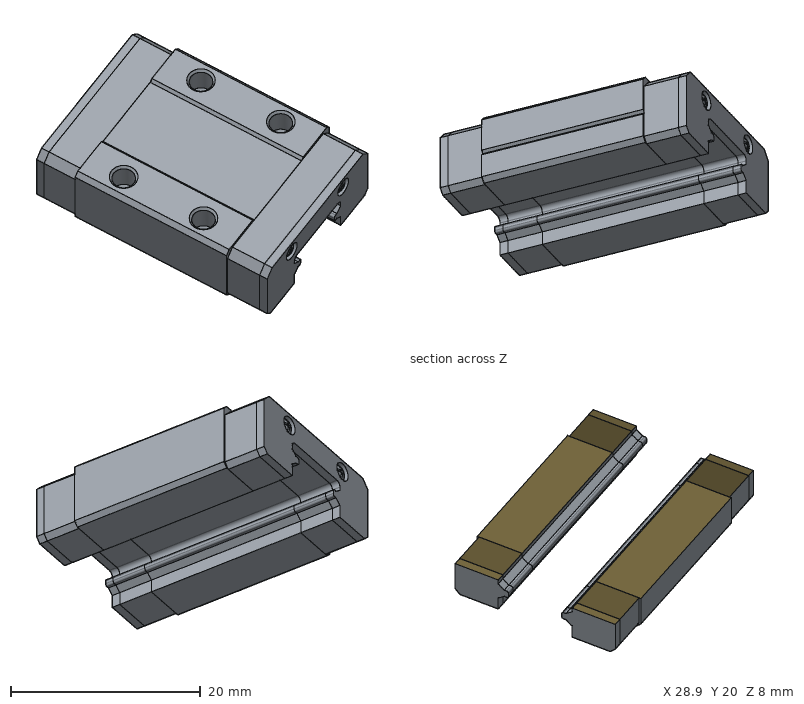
import cadquery as cq
import math

TOTAL_LENGTH = 28.9
PLATE_THICKNESS = 0.95
CAP_LENGTH = 4.02
BLOCK_LENGTH = TOTAL_LENGTH - 2 * (CAP_LENGTH + PLATE_THICKNESS)

BLOCK_WIDTH = 20.0
BLOCK_HEIGHT = 8.0
BLOCK_CHAMFER = 0.52
MARK_GROOVE_HEIGHT = 3.5
MARK_GROOVE_DEPTH = 0.3

HOLE_SPACING_X = 10.0
HOLE_SPACING_Y = 15.03
HOLE_DIAMETER = 2.49
HOLE_RIM_DIAMETER = 3.0
HOLE_DEPTH = 3.0
DRILL_POINT_ANGLE = 118

END_WIDTH = 19.57
END_HEIGHT = 7.7
END_TOP_CHAMFER = 0.95
END_BOTTOM_CHAMFER = 0.6

RECESS_DEPTH = BLOCK_HEIGHT - END_HEIGHT
RECESS_FLOOR_WIDTH = 9.2
RECESS_TOP_WIDTH = RECESS_FLOOR_WIDTH + 2 * RECESS_DEPTH

CHANNEL_WIDTH = 9.0
CHANNEL_HEIGHT = 4.48
CHANNEL_FILLET = 0.55
RIB_HEIGHT = 2.5
RIB_ROOT_HALF = 0.98
RIB_TIP_HALF = 0.43
RIB_SHOULDER_WIDTH = 7.5
RIB_TIP_WIDTH = 6.47
RIB_TIP_FILLET = 0.25
UNDERSIDE_OVERCUT = 0.3
EDGE_TOLERANCE = 0.003

SCREW_SPACING = 10.0
SCREW_HEIGHT = 6.2
SCREW_RADIUS = 1.0
SCREW_CLEARANCE = 0.03
SCREW_RECESS_DEPTH = 0.52
DOME_HEIGHT = 0.5
SLOT_WIDTH = 0.23
SLOT_DEPTH = 0.4


def extrude_section(points, x_start, length):
    """Extrude a closed (Y, Z) outline along +X from x_start."""
    return cq.Workplane("YZ").workplane(offset=x_start).polyline(points).close().extrude(length)


def mirrored(half_outline):
    """Complete a (Y, Z) half outline on the +Y side with its mirror image."""
    return half_outline + [(-y, z) for y, z in reversed(half_outline)]


def channel_cutter():
    """Rail channel through the whole length, leaving a rib on each side wall."""
    wall = CHANNEL_WIDTH / 2
    shoulder = RIB_SHOULDER_WIDTH / 2
    tip = RIB_TIP_WIDTH / 2
    lower_tip = RIB_HEIGHT - RIB_TIP_HALF
    upper_tip = RIB_HEIGHT + RIB_TIP_HALF
    half_outline = [
        (wall, -UNDERSIDE_OVERCUT),
        (wall, RIB_HEIGHT - RIB_ROOT_HALF),
        (shoulder, lower_tip),
        (tip, lower_tip),
        (tip, upper_tip),
        (shoulder, upper_tip),
        (wall, RIB_HEIGHT + RIB_ROOT_HALF),
        (wall, CHANNEL_HEIGHT),
    ]
    cutter = extrude_section(mirrored(half_outline), -TOTAL_LENGTH / 2, TOTAL_LENGTH)
    cutter = cutter.edges("|X and >Z").fillet(CHANNEL_FILLET)
    tip_corners = cutter.edges("|X").filter(lambda edge: abs(abs(edge.Center().y) - tip) < EDGE_TOLERANCE)
    return tip_corners.fillet(RIB_TIP_FILLET)


def mounting_hole_cutter():
    """Drilled hole with a countersunk rim and a conical bottom, opening at Z = 0."""
    radius = HOLE_DIAMETER / 2
    rim_radius = HOLE_RIM_DIAMETER / 2
    rim_depth = rim_radius - radius
    point_depth = radius / math.tan(math.radians(DRILL_POINT_ANGLE / 2))
    profile = [
        (0, 0),
        (rim_radius, 0),
        (radius, -rim_depth),
        (radius, -HOLE_DEPTH),
        (0, -HOLE_DEPTH - point_depth),
    ]
    return cq.Workplane("XZ").polyline(profile).close().revolve(360, (0, 0, 0), (0, 1, 0))


def make_block(channel):
    """Main block with its top recess, side mark and four mounting holes."""
    side = BLOCK_WIDTH / 2
    half_outline = [
        (side - BLOCK_CHAMFER, 0),
        (side, BLOCK_CHAMFER),
        (side, BLOCK_HEIGHT - BLOCK_CHAMFER),
        (side - BLOCK_CHAMFER, BLOCK_HEIGHT),
        (RECESS_TOP_WIDTH / 2, BLOCK_HEIGHT),
        (RECESS_FLOOR_WIDTH / 2, END_HEIGHT),
    ]
    block = extrude_section(mirrored(half_outline), -BLOCK_LENGTH / 2, BLOCK_LENGTH).cut(channel)

    mark_outline = [
        (side, MARK_GROOVE_HEIGHT - MARK_GROOVE_DEPTH),
        (side, MARK_GROOVE_HEIGHT + MARK_GROOVE_DEPTH),
        (side - MARK_GROOVE_DEPTH, MARK_GROOVE_HEIGHT),
    ]
    block = block.cut(extrude_section(mark_outline, -BLOCK_LENGTH / 2, BLOCK_LENGTH))

    for x in (-HOLE_SPACING_X / 2, HOLE_SPACING_X / 2):
        for y in (-HOLE_SPACING_Y / 2, HOLE_SPACING_Y / 2):
            block = block.cut(mounting_hole_cutter().translate((x, y, BLOCK_HEIGHT)))
    return block


def end_section(x_start, length, channel):
    """Slice of the end outline, with chamfered corners and the rail channel."""
    side = END_WIDTH / 2
    half_outline = [
        (side - END_BOTTOM_CHAMFER, 0),
        (side, END_BOTTOM_CHAMFER),
        (side, END_HEIGHT - END_TOP_CHAMFER),
        (side - END_TOP_CHAMFER, END_HEIGHT),
    ]
    return extrude_section(mirrored(half_outline), x_start, length).cut(channel)


def make_end_cap(channel):
    """End cap against the -X end of the block."""
    return end_section(-BLOCK_LENGTH / 2 - CAP_LENGTH, CAP_LENGTH, channel)


def make_seal_plate(channel):
    """Seal plate on the -X end, with a round recess for each screw."""
    plate = end_section(-TOTAL_LENGTH / 2, PLATE_THICKNESS, channel)
    for y in (-SCREW_SPACING / 2, SCREW_SPACING / 2):
        recess = (
            cq.Workplane("YZ", origin=(-TOTAL_LENGTH / 2, y, SCREW_HEIGHT))
            .circle(SCREW_RADIUS + SCREW_CLEARANCE)
            .extrude(SCREW_RECESS_DEPTH)
        )
        plate = plate.cut(recess)
    return plate


def make_screw(y):
    """Domed screw head facing -X, seated on the floor of its recess."""
    seat_x = -TOTAL_LENGTH / 2 + SCREW_RECESS_DEPTH
    dome_x = seat_x - DOME_HEIGHT
    sphere_radius = (SCREW_RADIUS**2 + DOME_HEIGHT**2) / (2 * DOME_HEIGHT)
    sphere = cq.Workplane("XY").sphere(sphere_radius).translate((dome_x + sphere_radius, y, SCREW_HEIGHT))
    apex_plane = cq.Workplane("YZ", origin=(dome_x, y, SCREW_HEIGHT))
    envelope = apex_plane.circle(SCREW_RADIUS).extrude(DOME_HEIGHT)
    slot_length = 2 * SCREW_RADIUS
    slot_along_y = apex_plane.rect(slot_length, SLOT_WIDTH).extrude(SLOT_DEPTH)
    slot_along_z = apex_plane.rect(SLOT_WIDTH, slot_length).extrude(SLOT_DEPTH)
    return envelope.intersect(sphere).cut(slot_along_y).cut(slot_along_z)


def both_ends(body):
    """A body at the -X end and its mirror image at the +X end."""
    return [body.val(), body.mirror("YZ").val()]


rail_channel = channel_cutter()
block = make_block(rail_channel)
end_caps = both_ends(make_end_cap(rail_channel))
seal_plates = both_ends(make_seal_plate(rail_channel))
screws = []
for screw_y in (-SCREW_SPACING / 2, SCREW_SPACING / 2):
    screws += both_ends(make_screw(screw_y))

result = cq.Compound.makeCompound([block.val(), *end_caps, *seal_plates, *screws])